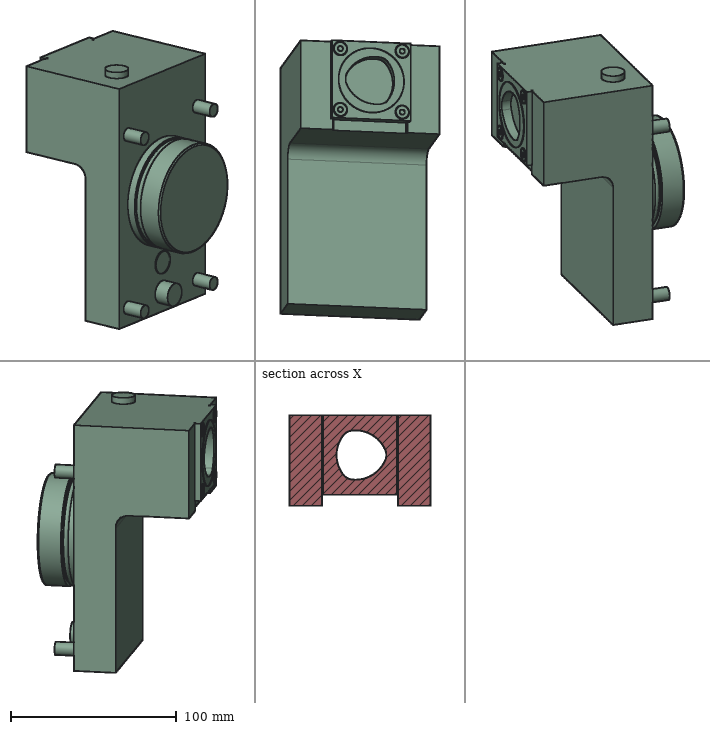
import cadquery as cq
import math

height = 156.5
width = 85.0
total_depth = 99.0
flange_thickness = 4.0
head_depth = 70.7
back_x = flange_thickness + head_depth
button_height = 3.9
head_top = height - button_height
head_height = 54.6
head_bottom = head_top - head_height
leg_thickness = 25.7
leg_front = back_x - leg_thickness
corner_radius = 8.0

flange_side = 48.0
flange_face = 0.5
flange_bottom = head_top - flange_side
flange_center_z = head_top - flange_side / 2
window_disc_radius = 20.0
screw_offset = 19.0
screw_head_radius = 4.2
screw_head_chamfer = 0.3
screw_socket_radius = 1.5

window_depth = 6.0
lobe_radius = 7.5
lobe_center_radius = 8.3
window_side_distance = 14.1

groove_spacing = 45.0
groove_width = 0.6
groove_depth = 0.8
recess_depth = 1.9

button_radius = 7.0
button_x = 57.1
button_y = -22.0

spigot_z = 76.7
spigot_radius = 34.0
spigot_length = total_depth - back_x
spigot_chamfer = 1.0
seal_groove_start = 5.2
seal_groove_width = 4.5
seal_groove_radius = 31.3
seal_section_radius = 1.7
seal_center_radius = 31.8

pin_radius = 4.0
pin_length = 12.8
pin_y = 34.0
pin_heights = (11.5, 121.5)
boss_radius = 7.0
boss_length = 9.4
boss_z = 12.5
pad_radius = 7.0
pad_length = 0.6
pad_z = 31.3


def cylinder_x(x_start, y, z, radius, length):
    """Cylinder along +X starting at the given point."""
    return cq.Workplane("YZ", origin=(x_start, y, z)).circle(radius).extrude(length)


def block():
    outline = (
        cq.Workplane("XZ", origin=(0, width / 2, 0))
        .moveTo(leg_front, 0)
        .lineTo(back_x, 0)
        .lineTo(back_x, head_top)
        .lineTo(flange_thickness, head_top)
        .lineTo(flange_thickness, head_bottom)
        .lineTo(leg_front - corner_radius, head_bottom)
        .radiusArc((leg_front, head_bottom - corner_radius), corner_radius)
        .close()
    )
    return outline.extrude(width)


def head_grooves():
    return (
        cq.Workplane("YZ", origin=(flange_thickness, 0, (head_top + head_bottom) / 2))
        .pushPoints([(-groove_spacing / 2, 0), (groove_spacing / 2, 0)])
        .rect(groove_width, head_height)
        .extrude(groove_depth)
    )


def screw_pattern():
    """Workplane holding the four screw centres."""
    return (
        cq.Workplane("YZ", origin=(0, 0, flange_center_z))
        .rect(2 * screw_offset, 2 * screw_offset, forConstruction=True)
        .vertices()
    )


def head_recess():
    """Step cut into the front of the head, below the flange and between the grooves."""
    recess_height = flange_bottom - head_bottom
    return (
        cq.Workplane("YZ", origin=(flange_thickness, 0, head_bottom + recess_height / 2))
        .rect(groove_spacing - groove_width, recess_height)
        .extrude(recess_depth)
    )


def flange():
    plate = (
        cq.Workplane("YZ", origin=(flange_face, 0, flange_center_z))
        .rect(flange_side, flange_side)
        .extrude(flange_thickness - flange_face)
    )
    disc = cylinder_x(0, 0, flange_center_z, window_disc_radius, flange_thickness)
    screw_heads = (
        screw_pattern()
        .circle(screw_head_radius)
        .extrude(flange_face)
        .faces("<X")
        .chamfer(screw_head_chamfer)
    )
    sockets = screw_pattern().circle(screw_socket_radius).extrude(flange_face)
    return plate.union(disc).union(screw_heads).cut(sockets)


def polar(radius, degrees):
    angle = math.radians(degrees)
    return (radius * math.cos(angle), radius * math.sin(angle))


def lobe_point(lobe_angle, turn):
    """Point on the lobe's arc, turned away from its tip by the given angle."""
    center_y, center_z = polar(lobe_center_radius, lobe_angle)
    arc_y, arc_z = polar(lobe_radius, lobe_angle + turn)
    return (center_y + arc_y, center_z + arc_z)


def window():
    """Rounded triangle: three lobe arcs joined by flatter side arcs that are tangent to them."""
    clearance = window_side_distance - lobe_radius
    side_center = (lobe_center_radius**2 - clearance**2) / (2 * clearance - lobe_center_radius)
    lobe_along, lobe_across = polar(lobe_center_radius, 60)
    tangent_angle = math.degrees(math.atan2(lobe_across, side_center + lobe_along))
    half_lobe = 60 - tangent_angle

    outline = cq.Workplane("YZ", origin=(0, 0, flange_center_z)).moveTo(*lobe_point(0, -half_lobe))
    for lobe_angle in (0, 120, 240):
        outline = outline.threePointArc(lobe_point(lobe_angle, 0), lobe_point(lobe_angle, half_lobe))
        next_lobe_start = lobe_point(lobe_angle + 120, -half_lobe)
        outline = outline.threePointArc(polar(window_side_distance, lobe_angle + 60), next_lobe_start)
    return outline.close().extrude(window_depth)


def spigot():
    groove_end = seal_groove_start + seal_groove_width
    profile = (
        cq.Workplane("XZ", origin=(back_x, 0, spigot_z))
        .lineTo(0, spigot_radius)
        .lineTo(seal_groove_start, spigot_radius)
        .lineTo(seal_groove_start, seal_groove_radius)
        .lineTo(groove_end, seal_groove_radius)
        .lineTo(groove_end, spigot_radius)
        .lineTo(spigot_length - spigot_chamfer, spigot_radius)
        .lineTo(spigot_length, spigot_radius - spigot_chamfer)
        .lineTo(spigot_length, 0)
        .close()
    )
    seal = (
        cq.Workplane("XZ", origin=(back_x, 0, spigot_z))
        .center(seal_groove_start + seal_section_radius, seal_center_radius)
        .circle(seal_section_radius)
        .revolve(360, (0, -seal_center_radius, 0), (1, -seal_center_radius, 0))
    )
    return profile.revolve(360, (0, 0, 0), (1, 0, 0)).union(seal)


def button():
    base = cq.Workplane("XY", origin=(button_x, button_y, head_top))
    return base.circle(button_radius).extrude(button_height)


def back_studs():
    """Locating pins, boss and thin round pad on the back face."""
    studs = cylinder_x(back_x, 0, boss_z, boss_radius, boss_length)
    studs = studs.union(cylinder_x(back_x, 0, pad_z, pad_radius, pad_length))
    for pin_z in pin_heights:
        for side in (-1, 1):
            studs = studs.union(cylinder_x(back_x, side * pin_y, pin_z, pin_radius, pin_length))
    return studs


result = (
    block()
    .cut(head_grooves())
    .cut(head_recess())
    .union(flange())
    .cut(window())
    .union(spigot())
    .union(button())
    .union(back_studs())
)